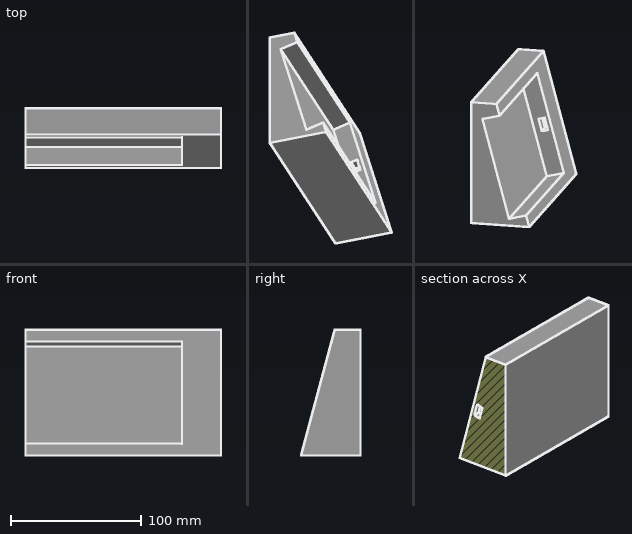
import cadquery as cq
import math

LENGTH = 150.0
TOP_DEPTH = 20.0
FACE_HEIGHT = 100.0
LEAN_ANGLE = 15.0

POCKET_LENGTH = 120.0
POCKET_HEIGHT = 81.0
POCKET_DEPTH = 14.0

RECESS_LENGTH = 10.0
RECESS_HEIGHT = 10.0
RECESS_WIDTH = 5.0
RECESS_CENTER_DEPTH = 6.0

lean = math.radians(LEAN_ANGLE)
body_height = FACE_HEIGHT * math.cos(lean)
top_front_y = FACE_HEIGHT * math.sin(lean)
back_y = top_front_y + TOP_DEPTH


def make_body():
    """Wedge profile in the YZ plane, extruded along X."""
    profile = [
        (0, 0),
        (back_y, 0),
        (back_y, body_height),
        (top_front_y, body_height),
    ]
    return cq.Workplane("YZ").polyline(profile).close().extrude(LENGTH)


def make_leaning_bar(x_start, x_end, height, depth, center_depth):
    """Bar along X, square to the leaning face and centred on the face height.

    It is built against an upright face at Y = 0, then tilted about the bottom front edge.
    """
    bar = cq.Workplane("XY").box(x_end - x_start, depth, height)
    bar = bar.translate(((x_start + x_end) / 2, center_depth, FACE_HEIGHT / 2))
    return bar.rotate((0, 0, 0), (1, 0, 0), -LEAN_ANGLE)


def make_pocket():
    return make_leaning_bar(0, POCKET_LENGTH, POCKET_HEIGHT, POCKET_DEPTH, POCKET_DEPTH / 2)


def make_plug_recess():
    return make_leaning_bar(
        POCKET_LENGTH,
        POCKET_LENGTH + RECESS_LENGTH,
        RECESS_HEIGHT,
        RECESS_WIDTH,
        RECESS_CENTER_DEPTH,
    )


result = make_body().cut(make_pocket()).cut(make_plug_recess())